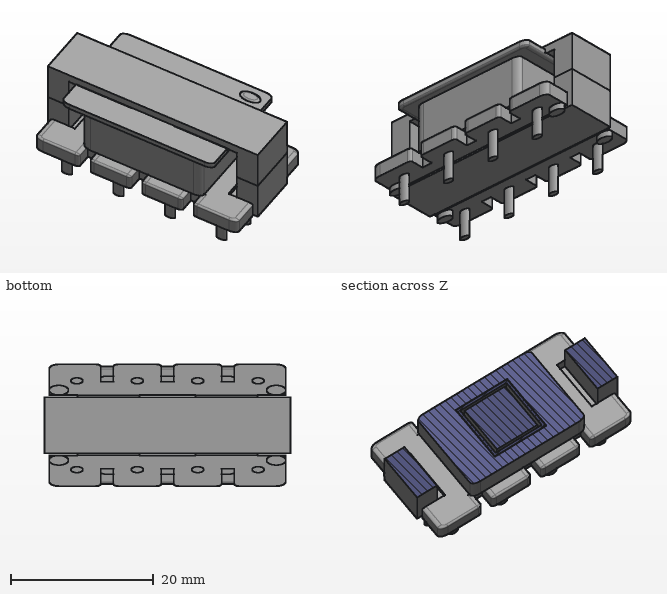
import cadquery as cq


STRETCH_X = 2.0
STRETCH_Z = 0.7

core_length = 34.5
core_width = 7.9
core_height = 12.0
core_joint_z = core_height / 2
outer_leg = 3.45
centre_leg = 7.0
back_thickness = 1.3

wall = 0.55
channel_width = 8.46
bore_length = 7.85
corner_radius = 0.67
edge_radius = 0.35

upper_flange_length = 24.86
upper_flange_width = 16.48
upper_flange_top = 11.13
upper_channel_floor = core_height - back_thickness
upper_flange_bottom = upper_channel_floor - wall

base_length = 33.2
base_width = 17.11
base_bottom = 0.09
base_web_bottom = 1.87
base_top = base_web_bottom + wall
base_web_length = 25.24

pin_count = 4
pin_pitch = 8.47
pin_row_y = 6.23
pin_bottom = -4.4
pin_radius = 0.42
notch_width = 1.76
notch_floor_y = 6.1
block_corner_radius = 0.33

foot_radius = 0.68
foot_bottom = -0.86

marker_x = 9.79
marker_radius = 0.81
marker_height = 0.3
marker_edge_radius = 0.26

winding_length = 19.58
winding_width = 13.76


def box(x_range, y_range, z_range):
    """Plain box between the given limits."""
    (x0, x1), (y0, y1), (z0, z1) = x_range, y_range, z_range
    return cq.Workplane("XY").box(x1 - x0, y1 - y0, z1 - z0, centered=False).translate((x0, y0, z0))


def centred_box(length, width, z0, z1):
    """Plain box centred on the Z axis."""
    return box((-length / 2, length / 2), (-width / 2, width / 2), (z0, z1))


def squeezed_box(length, width, height):
    """Box on the XY plane that reaches the given size once stretched."""
    return cq.Workplane("XY").box(length / STRETCH_X, width, height / STRETCH_Z, centered=(True, True, False))


def stretched(body):
    """Stretch a body along X and Z about the origin, turning its round edges elliptical."""
    matrix = cq.Matrix([[STRETCH_X, 0, 0, 0], [0, 1, 0, 0], [0, 0, STRETCH_Z, 0]])
    return cq.Workplane(body.val().transformGeometry(matrix))


def oval_post(x, y, radius, z0, z1):
    """Upright elliptical post, longer along X."""
    post = cq.Workplane("XY").ellipse(radius * STRETCH_X, radius).extrude(z1 - z0)
    return post.translate((x, y, z0))


def make_core_half(back_z, back_inner_z):
    """E-shaped half: a back plate and three legs that end at the joint plane."""
    z0, z1 = sorted((back_z, core_joint_z))
    half = centred_box(core_length, core_width, z0, z1)
    window_z = sorted((back_inner_z, core_joint_z))
    inner_x = centre_leg / 2
    outer_x = core_length / 2 - outer_leg
    for x_range in ((-outer_x, -inner_x), (inner_x, outer_x)):
        half = half.cut(box(x_range, (-core_width / 2, core_width / 2), window_z))
    return half


def make_upper_flange():
    """Rounded plate with a channel across its top for the back of the core."""
    plate = squeezed_box(upper_flange_length, upper_flange_width, upper_flange_top - upper_flange_bottom)
    plate = plate.edges("|Z").fillet(corner_radius)
    plate = plate.faces("<Z").edges().fillet(edge_radius)
    flange = stretched(plate).translate((0, 0, upper_flange_bottom))
    return flange.cut(centred_box(core_length, channel_width, upper_channel_floor, core_height))


def make_marker():
    """Raised oval dot on the upper flange, over the +Y pin row."""
    dot = cq.Workplane("XY").circle(marker_radius).extrude(marker_height / STRETCH_Z)
    dot = dot.faces(">Z").edges().fillet(marker_edge_radius)
    return stretched(dot).translate((marker_x, pin_row_y, upper_flange_top))


def pin_x(index):
    """X position of a pin, and of the terminal block around it."""
    return (index - (pin_count - 1) / 2) * pin_pitch


def make_terminal_block(index):
    """One rounded bar across the whole base; its two ends are the terminal blocks."""
    x0 = pin_x(index) - (pin_pitch - notch_width) / 2
    x1 = pin_x(index) + (pin_pitch - notch_width) / 2
    left_radius = block_corner_radius
    right_radius = block_corner_radius
    if index == 0:
        x0 = -base_length / 2
        left_radius = corner_radius
    if index == pin_count - 1:
        x1 = base_length / 2
        right_radius = corner_radius
    block = squeezed_box(x1 - x0, base_width, base_top - base_bottom)
    block = block.edges("|Z and <X").fillet(left_radius)
    block = block.edges("|Z and >X").fillet(right_radius)
    block = block.faces(">Z").edges().fillet(edge_radius)
    return stretched(block).translate(((x0 + x1) / 2, 0, base_bottom))


def make_base():
    """Lower flange: terminal blocks joined by a slab, cleared underneath for the core."""
    base = centred_box(2 * pin_x(pin_count - 1), 2 * notch_floor_y, base_bottom, base_top)
    for index in range(pin_count):
        base = base.union(make_terminal_block(index))
    base = base.cut(centred_box(core_length, channel_width, base_bottom, base_web_bottom))
    leg_slots = centred_box(core_length, channel_width, base_web_bottom, base_top)
    leg_slots = leg_slots.cut(centred_box(base_web_length, channel_width, base_web_bottom, base_top))
    return base.cut(leg_slots)


def make_bobbin():
    """Flanges, tube, pins, standoff feet and marker as one solid."""
    tube = centred_box(bore_length + 2 * wall, channel_width + 2 * wall, base_top, upper_flange_bottom)
    bobbin = make_base().union(tube).union(make_upper_flange()).union(make_marker())
    bobbin = bobbin.cut(centred_box(bore_length, channel_width, 0, core_height))

    foot_x = base_length / 2 - foot_radius * STRETCH_X
    foot_y = channel_width / 2 + foot_radius
    for side in (-1, 1):
        for index in range(pin_count):
            pin = oval_post(pin_x(index), side * pin_row_y, pin_radius, pin_bottom, base_bottom)
            bobbin = bobbin.union(pin)
        for x in (-foot_x, foot_x):
            bobbin = bobbin.union(oval_post(x, side * foot_y, foot_radius, foot_bottom, base_bottom))
    return bobbin


def make_winding():
    """Rounded coil block that fills the bobbin between its flanges."""
    coil = squeezed_box(winding_length, winding_width, upper_flange_bottom - base_top)
    coil = coil.edges("|Z").fillet(corner_radius)
    coil = stretched(coil).translate((0, 0, base_top))
    return coil.cut(
        centred_box(bore_length + 2 * wall, channel_width + 2 * wall, base_top, upper_flange_bottom)
    )


upper_core = make_core_half(core_height, core_height - back_thickness)
lower_core = make_core_half(0, back_thickness)
bobbin = make_bobbin()
winding = make_winding()

result = cq.Compound.makeCompound([upper_core.val(), lower_core.val(), bobbin.val(), winding.val()])